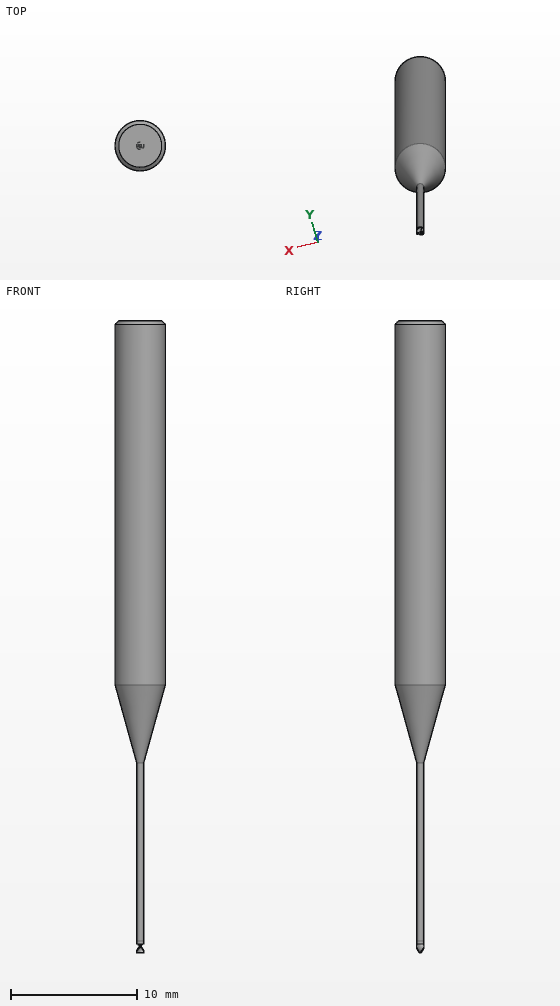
import cadquery as cq
import math

overall_length = 50.0
shank_diameter = 4.0
shank_chamfer = 0.3

reach = 15.0
neck_diameter = 0.56
neck_shoulder_height = 0.25
cone_half_angle = 15.5

cutter_diameter = 0.6
cutting_length = 0.7
web_thickness = 0.12
helix_angle = 42.0

shank_radius = shank_diameter / 2
neck_radius = neck_diameter / 2
cutter_radius = cutter_diameter / 2
cone_length = (shank_radius - neck_radius) / math.tan(math.radians(cone_half_angle))


def make_shank():
    """Shank, cone and neck as one turned solid."""
    neck_start = cutting_length + neck_shoulder_height
    profile = (
        cq.Workplane("XZ")
        .moveTo(0, cutting_length)
        .lineTo(cutter_radius, cutting_length)
        .lineTo(neck_radius, neck_start)
        .lineTo(neck_radius, reach)
        .lineTo(shank_radius, reach + cone_length)
        .lineTo(shank_radius, overall_length - shank_chamfer)
        .lineTo(shank_radius - shank_chamfer, overall_length)
        .lineTo(0, overall_length)
        .close()
    )
    return profile.revolve(360, (0, 0), (0, 1))


def make_cutter():
    """Right-hand helical web between two opposite flutes, lying along X at the tip."""
    half_web = web_thickness / 2
    land_x = math.sqrt(cutter_radius**2 - half_web**2)
    helix_lead = math.pi * cutter_diameter / math.tan(math.radians(helix_angle))
    twist = 360 * cutting_length / helix_lead
    section = (
        cq.Workplane("XY")
        .moveTo(-land_x, -half_web)
        .lineTo(land_x, -half_web)
        .threePointArc((cutter_radius, 0), (land_x, half_web))
        .lineTo(-land_x, half_web)
        .threePointArc((-cutter_radius, 0), (-land_x, -half_web))
        .close()
    )
    return section.twistExtrude(cutting_length, twist)


shank = make_shank()
cutter = make_cutter()

result = cq.Compound.makeCompound([shank.val(), cutter.val()])